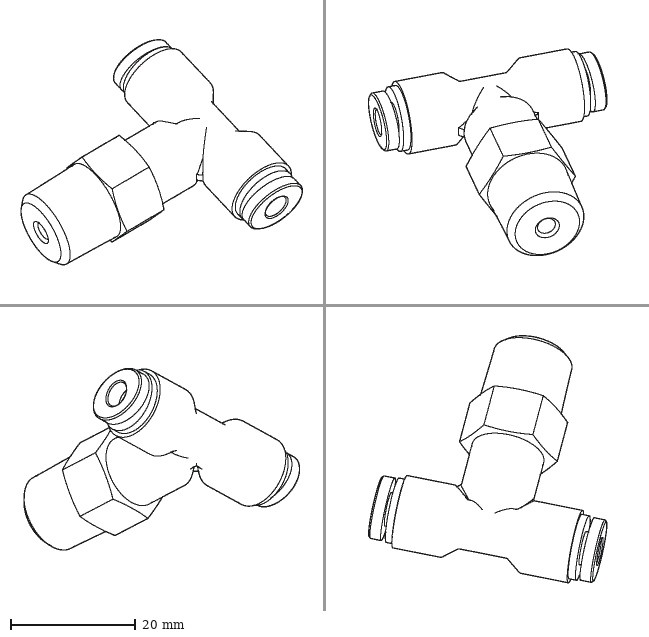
import cadquery as cq
import math


ARM_DIAMETER = 11.9
WAIST_DIAMETER = 8.05
WAIST_END = 4.02
SHOULDER = 6.5
CONE_FILLET = 0.5
RUN_HALF_LENGTH = 14.48
BRANCH_LENGTH = 14.5
WEB_THICKNESS = 1.55
WEB_REACH = 6.7

COLLAR_DIAMETER = 10.6
COLLAR_LENGTH = 1.22

NECK_DIAMETER = 5.5
TUBE_BORE = 4.2
TUBE_BORE_CHAMFER = 0.25
NECK_LENGTH = 0.75
FLANGE_WIDTH = 10.8
FLANGE_HEIGHT = 8.65
FLANGE_CHAMFER = 0.28
OVERALL_WIDTH = 37.0

HEX_ACROSS_FLATS = 14.0
HEX_LENGTH = 8.0
HEX_CHAMFER_ANGLE = 15.0
OVERALL_LENGTH = 39.45
THREAD_ROOT_DIAMETER = 13.5
THREAD_TIP_DIAMETER = 12.95
THREAD_CHAMFER = 1.05
STEM_BORE = 3.0
STEM_BORE_MOUTH = 4.02

ARM_RADIUS = ARM_DIAMETER / 2
WAIST_RADIUS = WAIST_DIAMETER / 2
COLLAR_END = RUN_HALF_LENGTH + COLLAR_LENGTH
SLEEVE_END = OVERALL_WIDTH / 2
FLANGE_START = COLLAR_END + NECK_LENGTH
HEX_END = BRANCH_LENGTH + HEX_LENGTH
STEM_END = OVERALL_LENGTH - ARM_RADIUS
SIDES = (1, -1)


def make_arm(length):
    """Waisted round arm along +X, starting at the tee centre."""
    profile = [
        (0, 0),
        (0, WAIST_RADIUS),
        (WAIST_END, WAIST_RADIUS),
        (SHOULDER, ARM_RADIUS),
        (length, ARM_RADIUS),
        (length, 0),
    ]
    arm = cq.Workplane("XY").polyline(profile).close().revolve(360, (0, 0, 0), (1, 0, 0))
    cone_ends = cq.selectors.BoxSelector(
        (WAIST_END - CONE_FILLET, -ARM_DIAMETER, -ARM_DIAMETER),
        (SHOULDER + CONE_FILLET, ARM_DIAMETER, ARM_DIAMETER),
    )
    return arm.edges("%CIRCLE").edges(cone_ends).fillet(CONE_FILLET)


def make_web(side):
    """Thin plate bridging the notch between the branch and one run arm."""
    outline = [
        (0, 0),
        (side * WEB_REACH, -ARM_RADIUS),
        (side * ARM_RADIUS, -WEB_REACH),
    ]
    return cq.Workplane("XY").polyline(outline).close().extrude(WEB_THICKNESS / 2, both=True)


def make_tee_body():
    run_arm = make_arm(RUN_HALF_LENGTH)
    body = run_arm.union(run_arm.mirror("YZ"))
    body = body.union(make_arm(BRANCH_LENGTH).rotate((0, 0, 0), (0, 0, 1), -90))
    for side in SIDES:
        body = body.union(make_web(side))
    return body


def make_collar(side):
    """Ring on the end face of one run arm, bored in line with the sleeve."""
    return (
        cq.Workplane("YZ", origin=(side * RUN_HALF_LENGTH, 0, 0))
        .circle(COLLAR_DIAMETER / 2)
        .circle(TUBE_BORE / 2)
        .extrude(side * COLLAR_LENGTH)
    )


def make_flange():
    """Elliptical plate with a chamfered outer rim."""
    flange = (
        cq.Workplane("YZ", origin=(FLANGE_START, 0, 0))
        .ellipse(FLANGE_WIDTH / 2, FLANGE_HEIGHT / 2)
        .extrude(SLEEVE_END - FLANGE_START)
    )
    return flange.faces(">X").edges().chamfer(FLANGE_CHAMFER)


def make_sleeve(side):
    """Release sleeve: a short neck on the collar face that carries an elliptical flange."""
    neck = (
        cq.Workplane("YZ", origin=(COLLAR_END, 0, 0))
        .circle(NECK_DIAMETER / 2)
        .extrude(NECK_LENGTH)
    )
    sleeve = neck.union(make_flange()).faces(">X").workplane(origin=(0, 0, 0))
    sleeve = sleeve.cskHole(TUBE_BORE, TUBE_BORE + 2 * TUBE_BORE_CHAMFER, 90)
    return sleeve if side > 0 else sleeve.mirror("YZ")


def make_hexagon():
    """Hexagon with both ends turned to a shallow cone that clips the corners."""
    inner_radius = HEX_ACROSS_FLATS / 2
    outer_radius = inner_radius / math.cos(math.pi / 6)
    clip_radius = outer_radius * 1.1
    clip_depth = (clip_radius - inner_radius) * math.tan(math.radians(HEX_CHAMFER_ANGLE))
    hexagon = (
        cq.Workplane("XZ", origin=(0, -BRANCH_LENGTH, 0))
        .polygon(6, 2 * outer_radius)
        .extrude(HEX_LENGTH)
    )
    clip_profile = [
        (0, -BRANCH_LENGTH),
        (inner_radius, -BRANCH_LENGTH),
        (clip_radius, -BRANCH_LENGTH - clip_depth),
        (clip_radius, -HEX_END + clip_depth),
        (inner_radius, -HEX_END),
        (0, -HEX_END),
    ]
    clip = cq.Workplane("XY").polyline(clip_profile).close().revolve(360, (0, 0, 0), (0, 1, 0))
    return hexagon.intersect(clip)


def make_stem():
    """Hexagon and tapered thread blank, bored along the branch axis."""
    tip_radius = THREAD_TIP_DIAMETER / 2
    thread_profile = [
        (0, -HEX_END),
        (THREAD_ROOT_DIAMETER / 2, -HEX_END),
        (tip_radius, -STEM_END + THREAD_CHAMFER),
        (tip_radius - THREAD_CHAMFER, -STEM_END),
        (0, -STEM_END),
    ]
    thread = cq.Workplane("XY").polyline(thread_profile).close().revolve(360, (0, 0, 0), (0, 1, 0))
    stem = make_hexagon().union(thread).faces("<Y").workplane(origin=(0, 0, 0))
    return stem.cskHole(STEM_BORE, STEM_BORE_MOUTH, 90)


tee_body = make_tee_body()
collars = [make_collar(side) for side in SIDES]
sleeves = [make_sleeve(side) for side in SIDES]
stem = make_stem()

result = cq.Compound.makeCompound([
    tee_body.val(),
    *[collar.val() for collar in collars],
    *[sleeve.val() for sleeve in sleeves],
    stem.val(),
])